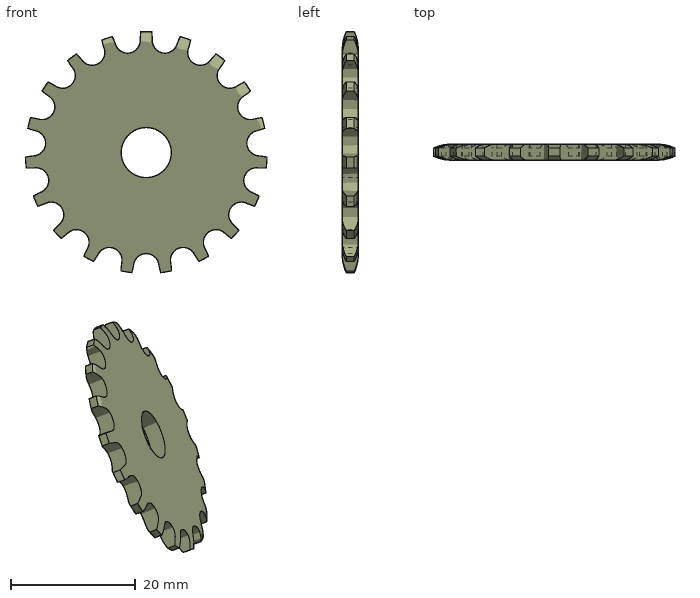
import cadquery as cq
import math

tooth_count = 19
overall_width = 38.77
thickness = 2.6
bore_diameter = 8.0
pitch_radius = 18.22
seat_radius = 2.0
tip_half_width = 0.9
face_radius = 16.55
tip_thickness = 1.28

tooth_pitch = 2 * math.pi / tooth_count
half_pitch = tooth_pitch / 2

seat_u = pitch_radius * math.sin(half_pitch)
seat_v = pitch_radius * math.cos(half_pitch)
root_radius = pitch_radius - seat_radius
root = (root_radius * math.sin(half_pitch), root_radius * math.cos(half_pitch))
neck = (seat_u - seat_radius, seat_v)
seat_mid_angle = (math.pi / 2 + half_pitch) / 2
seat_middle = (
    seat_u - seat_radius * math.sin(seat_mid_angle),
    seat_v - seat_radius * math.cos(seat_mid_angle),
)

lowest_tooth_tilt = abs(math.pi / 2 - round(tooth_count / 4) * tooth_pitch)
tip_v = (overall_width / 2 - tip_half_width * math.sin(lowest_tooth_tilt)) / math.cos(lowest_tooth_tilt)
tip_corner = (tip_half_width, tip_v)
tip_radius = math.hypot(*tip_corner)
tip_middle = (0, tip_radius)

flank_rise = tip_v - neck[1]
flank_lean = neck[0] - tip_half_width
flank_radius = (flank_rise**2 + flank_lean**2) / (2 * flank_lean)
flank_middle = (
    neck[0] - flank_radius + math.sqrt(flank_radius**2 - (flank_rise / 2)**2),
    neck[1] + flank_rise / 2,
)


def place(point, angle, side):
    """Turn a half-tooth point to its tooth angle; side is -1 or +1 across its axis."""
    u = side * point[0]
    v = point[1]
    return (
        u * math.cos(angle) + v * math.sin(angle),
        v * math.cos(angle) - u * math.sin(angle),
    )


def toothed_blank():
    outline = cq.Workplane("XZ", origin=(0, thickness / 2, 0)).moveTo(*place(root, 0, -1))
    for tooth in range(tooth_count):
        angle = tooth * tooth_pitch
        outline = (
            outline
            .threePointArc(place(seat_middle, angle, -1), place(neck, angle, -1))
            .threePointArc(place(flank_middle, angle, -1), place(tip_corner, angle, -1))
            .threePointArc(place(tip_middle, angle, 1), place(tip_corner, angle, 1))
            .threePointArc(place(flank_middle, angle, 1), place(neck, angle, 1))
            .threePointArc(place(seat_middle, angle, 1), place(root, angle, 1))
        )
    return outline.close().extrude(thickness)


def crowned_disc():
    """Bored disc whose sides curve inward, tangent to the flat faces, toward the tooth tips."""
    half_thickness = thickness / 2
    half_tip = tip_thickness / 2
    crown_depth = half_thickness - half_tip
    crown_length = tip_radius - face_radius
    crown_radius = (crown_depth**2 + crown_length**2) / (2 * crown_depth)
    half_length = crown_length / 2
    middle_drop = crown_radius - math.sqrt(crown_radius**2 - half_length**2)
    middle_y = half_thickness - middle_drop
    middle_r = face_radius + half_length
    bore_radius = bore_diameter / 2
    return (
        cq.Workplane("YZ")
        .moveTo(-half_thickness, bore_radius)
        .lineTo(-half_thickness, face_radius)
        .threePointArc((-middle_y, middle_r), (-half_tip, tip_radius))
        .lineTo(half_tip, tip_radius)
        .threePointArc((middle_y, middle_r), (half_thickness, face_radius))
        .lineTo(half_thickness, bore_radius)
        .close()
        .revolve(360, (0, 0, 0), (1, 0, 0))
    )


result = toothed_blank().intersect(crowned_disc(), clean=False)